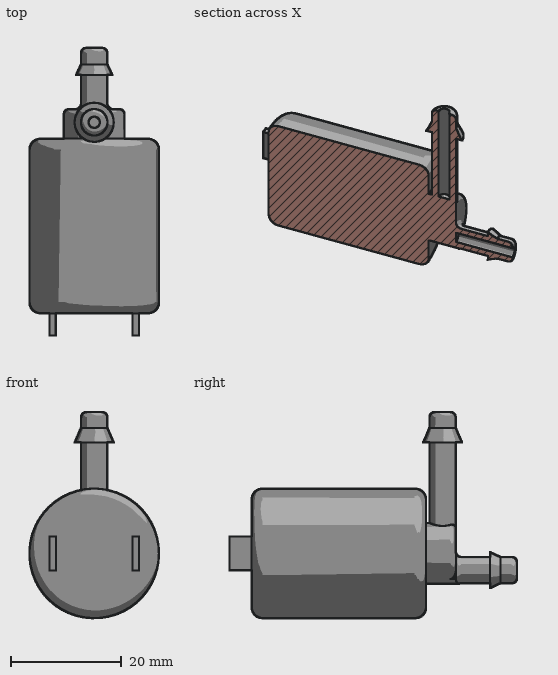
import cadquery as cq
import math

overall_length = 51.9
overall_height = 37.2

body_diameter = 23.4
body_length = 31.5
body_edge_radius = 2.0

boss_diameter = 11.0
boss_length = 5.35
boss_edge_radius = 1.0
boss_face_y = body_length + boss_length

terminal_length = 4.0
terminal_thickness = 1.2
terminal_height = 6.1
terminal_spacing = 15.0

port_diameter = 4.8
port_radius = port_diameter / 2
bore_diameter = 2.0
tip_radius = 1.0
root_radius = 1.0

back_port_inset = 0.1
back_port_z = port_radius - boss_diameter / 2 + back_port_inset
back_port_tip_y = overall_length - terminal_length
back_barb_diameter = 6.55
back_barb_start = 3.0
back_barb_end = 4.9

top_port_y = boss_face_y - port_radius
top_port_tip_z = overall_height - body_diameter / 2
top_barb_diameter = 7.05
top_barb_start = 2.85
top_barb_end = 5.5


def cylinder_along_y(diameter, start_y, length):
    plane = cq.Plane(origin=(0, start_y, 0), xDir=(1, 0, 0), normal=(0, 1, 0))
    return cq.Workplane(plane).circle(diameter / 2).extrude(length)


def barbed_port(length, barb_diameter, barb_start, barb_end):
    """Solid port along +Z with its root at the origin; barb places are measured from the tip."""
    arc_offset = tip_radius * math.sqrt(0.5)
    arc_center_r = port_radius - tip_radius
    arc_center_z = length - tip_radius
    profile = (
        cq.Workplane("XZ")
        .moveTo(0, 0)
        .lineTo(port_radius, 0)
        .lineTo(port_radius, length - barb_end)
        .lineTo(barb_diameter / 2, length - barb_end)
        .lineTo(port_radius, length - barb_start)
        .lineTo(port_radius, arc_center_z)
        .threePointArc(
            (arc_center_r + arc_offset, arc_center_z + arc_offset),
            (arc_center_r, length),
        )
        .lineTo(0, length)
        .close()
    )
    return profile.revolve(360, (0, 0, 0), (0, 1, 0))


def bore(tip_distance, depth):
    """Blind bore along Z that opens at the given distance from the origin."""
    return (
        cq.Workplane("XY")
        .workplane(offset=tip_distance - depth)
        .circle(bore_diameter / 2)
        .extrude(depth)
    )


def place_on_back(shape):
    """Turn a shape built along +Z to point along +Y on the back port axis."""
    return shape.rotate((0, 0, 0), (1, 0, 0), -90).translate((0, body_length, back_port_z))


def place_on_top(shape):
    return shape.translate((0, top_port_y, 0))


def back_port_root():
    """Concave flare between the back port and the boss, kept within the boss outline."""
    flare_radius = port_radius + root_radius
    flare_bottom = boss_length - boss_edge_radius
    flare_top = boss_length + root_radius
    arc_offset = root_radius * math.sqrt(0.5)
    flare = (
        cq.Workplane("XZ")
        .moveTo(0, flare_bottom)
        .lineTo(flare_radius, flare_bottom)
        .lineTo(flare_radius, boss_length)
        .threePointArc((flare_radius - arc_offset, flare_top - arc_offset), (port_radius, flare_top))
        .lineTo(0, flare_top)
        .close()
        .revolve(360, (0, 0, 0), (0, 1, 0))
    )
    boss_outline = cylinder_along_y(boss_diameter, body_length, flare_top)
    return place_on_back(flare).intersect(boss_outline)


def terminal(center_x):
    return (
        cq.Workplane("XY")
        .box(terminal_thickness, terminal_length, terminal_height)
        .translate((center_x, -terminal_length / 2, 0))
    )


body = cylinder_along_y(body_diameter, 0, body_length).edges().fillet(body_edge_radius)
boss = cylinder_along_y(boss_diameter, body_length, boss_length).faces(">Y").edges().fillet(boss_edge_radius)
result = body.union(boss)

back_port_length = back_port_tip_y - body_length
back_port = barbed_port(back_port_length, back_barb_diameter, back_barb_start, back_barb_end)
top_port = barbed_port(top_port_tip_z, top_barb_diameter, top_barb_start, top_barb_end)
result = result.union(back_port_root())
result = result.union(place_on_back(back_port))
result = result.union(place_on_top(top_port))

back_bore = bore(back_port_length, back_port_tip_y - boss_face_y)
top_bore = bore(top_port_tip_z, top_port_tip_z - boss_diameter / 2)
result = result.cut(place_on_back(back_bore))
result = result.cut(place_on_top(top_bore))

for side in (-1, 1):
    result = result.union(terminal(side * terminal_spacing / 2))